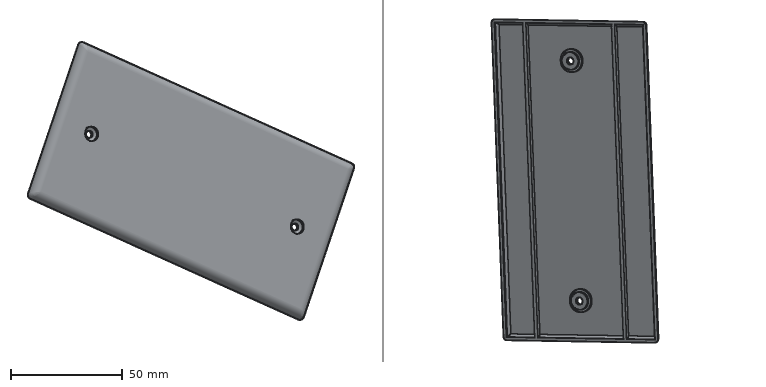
import cadquery as cq

LENGTH = 145.7
WIDTH = 76.7
DEPTH = 4.0
EDGE_RADIUS = 4.0
CORNER_RADIUS = 1.8

RIM = 1.5
BACK_DEPTH = 2.3
BEVEL = 1.2

RIB_WIDTH = 1.6
RIB_SPACING = 44.0

HOLE_SPACING = 108.9
HOLE_DIAMETER = 3.3
HEAD_DIAMETER = 6.6
HEAD_DEPTH = 1.6
CONE_DEPTH = 0.7
BOSS_DIAMETER = 10.5
BOSS_HEIGHT = 1.2
BOSS_TIP_DIAMETER = 8.1

PITCH = 33.4
ROLL = 20.0

BLANK_DEPTH = 2 * EDGE_RADIUS
FLOOR = BACK_DEPTH - DEPTH
HOLE_CENTRES = [(-HOLE_SPACING / 2, 0), (HOLE_SPACING / 2, 0)]


def rounded_plate():
    """Solid plate with its outer edges and corners rounded, trimmed at the back."""
    blank = cq.Workplane("XY").rect(LENGTH, WIDTH).extrude(-BLANK_DEPTH)
    blank = blank.faces(">Z").edges().fillet(EDGE_RADIUS)
    blank = blank.edges("|Z").fillet(CORNER_RADIUS)
    return blank.intersect(cq.Workplane("XY").rect(LENGTH, WIDTH).extrude(-DEPTH))


def pocket():
    """Hollow in the back, narrowing to the floor with a bevel."""
    return (
        cq.Workplane("XY", origin=(0, 0, -DEPTH))
        .rect(LENGTH - 2 * RIM, WIDTH - 2 * RIM)
        .extrude(BACK_DEPTH)
        .faces(">Z")
        .edges()
        .chamfer(BEVEL)
    )


def ribs():
    """Two full-length ribs, level with the rim."""
    return (
        cq.Workplane("XY", origin=(0, 0, -DEPTH))
        .pushPoints([(0, -RIB_SPACING / 2), (0, RIB_SPACING / 2)])
        .rect(LENGTH - 2 * RIM, RIB_WIDTH)
        .extrude(BACK_DEPTH)
    )


def bosses():
    """Stepped boss behind each screw hole."""
    back = cq.Workplane("XY", origin=(0, 0, FLOOR)).pushPoints(HOLE_CENTRES)
    base = back.circle(BOSS_DIAMETER / 2).extrude(-BOSS_HEIGHT)
    tip = back.circle(BOSS_TIP_DIAMETER / 2).extrude(-BACK_DEPTH)
    return base.union(tip)


def screw_hole():
    """Countersunk hole through plate and boss, centred on the Z axis."""
    hole_radius = HOLE_DIAMETER / 2
    head_radius = HEAD_DIAMETER / 2
    cone_end = -HEAD_DEPTH - CONE_DEPTH
    outline = [
        (0, 0),
        (head_radius, 0),
        (head_radius, -HEAD_DEPTH),
        (hole_radius, cone_end),
        (hole_radius, -DEPTH),
        (0, -DEPTH),
    ]
    return cq.Workplane("XZ").polyline(outline).close().revolve(360, (0, 0, 0), (0, 1, 0))


plate = rounded_plate().cut(pocket()).union(ribs()).union(bosses())
for x, y in HOLE_CENTRES:
    plate = plate.cut(screw_hole().translate((x, y, 0)))

result = plate.rotate((0, 0, 0), (0, 1, 0), PITCH).rotate((0, 0, 0), (1, 0, 0), ROLL)